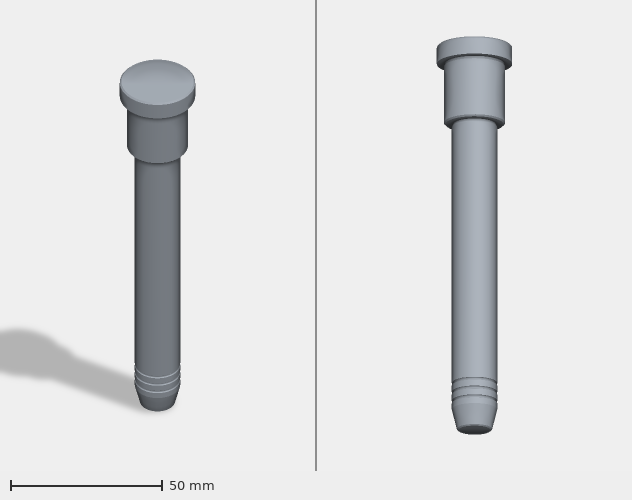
import cadquery as cq
import math

total_length = 132.0
head_height = 6.1
collar_bottom = 105.2
neck_height = 1.2

head_diameter = 25.0
collar_diameter = 20.2
shank_diameter = 15.0

head_chamfer = 0.5
collar_chamfer = 0.5
relief_height = 0.9
relief_depth = 0.3
neck_depth = 0.5

tip_height = 7.1
tip_angle = 14.0
tip_chamfer = 0.4

groove_count = 3
first_groove_height = 9.6
groove_pitch = 3.0
groove_radius = 0.46


def cylinder(diameter, bottom, top):
    """Cylinder on the Z axis between two heights."""
    return cq.Workplane("XY").workplane(offset=bottom).circle(diameter / 2).extrude(top - bottom)


def make_tip():
    end_radius = shank_diameter / 2 - tip_height * math.tan(math.radians(tip_angle))
    profile = [(0, 0), (end_radius, 0), (shank_diameter / 2, tip_height), (0, tip_height)]
    tip = cq.Workplane("XZ").polyline(profile).close().revolve(360, (0, 0, 0), (0, 1, 0))
    return tip.faces("<Z").chamfer(tip_chamfer)


def make_neck():
    """Conical relief under the collar that widens down to the shank diameter."""
    shank_radius = shank_diameter / 2
    neck_radius = shank_radius - neck_depth
    neck_bottom = collar_bottom - neck_height
    profile = [
        (0, neck_bottom),
        (shank_radius, neck_bottom),
        (neck_radius, collar_bottom),
        (0, collar_bottom),
    ]
    return cq.Workplane("XZ").polyline(profile).close().revolve(360, (0, 0, 0), (0, 1, 0))


def make_groove(height):
    """Ring that cuts a half-round groove into the shank, centred on the given height."""
    return cq.Workplane("XY").add(
        cq.Solid.makeTorus(shank_diameter / 2, groove_radius, cq.Vector(0, 0, height))
    )


head_bottom = total_length - head_height
collar_top = head_bottom - relief_height

head = cylinder(head_diameter, head_bottom, total_length).faces(">Z").chamfer(head_chamfer)
relief = cylinder(collar_diameter - 2 * relief_depth, collar_top, head_bottom)
collar = cylinder(collar_diameter, collar_bottom, collar_top).faces("<Z").chamfer(collar_chamfer)
shank = cylinder(shank_diameter, tip_height, collar_bottom - neck_height)

result = head.union(relief).union(collar).union(make_neck()).union(shank).union(make_tip())

for index in range(groove_count):
    result = result.cut(make_groove(first_groove_height + index * groove_pitch))